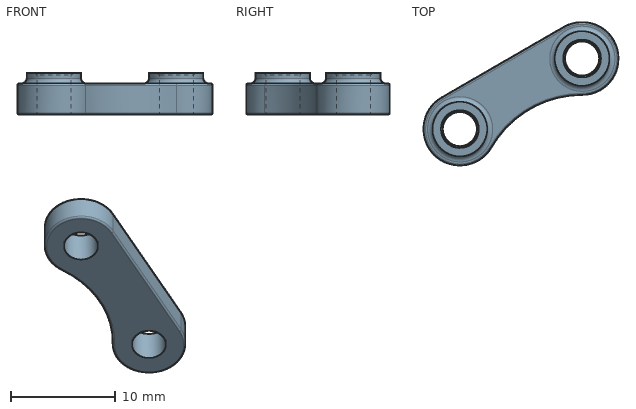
import cadquery as cq
import math

end_radius = 3.5
pivot_distance = 13.51
link_angle = 30
body_height = 2.99
total_height = 4.0
edge_fillet = 0.19
boss_radius = 2.62
boss_fillet = 0.5
hole_radius = 1.63
hole_chamfer = 0.19

waist_radius = pivot_distance - end_radius


def polar(start, radius, angle):
    """Point at a distance and an angle in degrees from a start point."""
    turn = math.radians(angle)
    return (start[0] + radius * math.cos(turn), start[1] + radius * math.sin(turn))


lower_pivot = polar((0, 0), pivot_distance / 2, link_angle + 180)
upper_pivot = polar((0, 0), pivot_distance / 2, link_angle)
waist_center = polar(lower_pivot, pivot_distance, link_angle - 60)
pivots = [lower_pivot, upper_pivot]


def make_body():
    """Link plate with one straight side and one concave side."""
    straight_side = link_angle + 90
    lower_waist = link_angle - 60
    upper_waist = link_angle - 120
    return (
        cq.Workplane("XY")
        .moveTo(*polar(lower_pivot, end_radius, straight_side))
        .lineTo(*polar(upper_pivot, end_radius, straight_side))
        .threePointArc(
            polar(upper_pivot, end_radius, (straight_side + upper_waist) / 2),
            polar(upper_pivot, end_radius, upper_waist),
        )
        .threePointArc(
            polar(waist_center, waist_radius, straight_side),
            polar(lower_pivot, end_radius, lower_waist),
        )
        .threePointArc(
            polar(lower_pivot, end_radius, (straight_side + lower_waist) / 2 + 180),
            polar(lower_pivot, end_radius, straight_side),
        )
        .close()
        .extrude(body_height)
        .faces("|Z")
        .edges()
        .fillet(edge_fillet)
    )


def make_boss(pivot):
    """Round boss whose foot flares into the top of the body."""
    foot_radius = boss_radius + boss_fillet
    arc_reach = boss_fillet * (1 - math.sqrt(0.5))
    profile = (
        cq.Workplane("XZ")
        .moveTo(0, 0)
        .lineTo(foot_radius, 0)
        .lineTo(foot_radius, body_height)
        .threePointArc(
            (boss_radius + arc_reach, body_height + arc_reach),
            (boss_radius, body_height + boss_fillet),
        )
        .lineTo(boss_radius, total_height)
        .lineTo(0, total_height)
        .close()
    )
    return profile.revolve(360, (0, 0), (0, 1)).translate((*pivot, 0))


def make_hole(pivot):
    """Through hole with a chamfered mouth at the top of the boss."""
    profile = (
        cq.Workplane("XZ")
        .moveTo(0, 0)
        .lineTo(hole_radius, 0)
        .lineTo(hole_radius, total_height - hole_chamfer)
        .lineTo(hole_radius + hole_chamfer, total_height)
        .lineTo(0, total_height)
        .close()
    )
    return profile.revolve(360, (0, 0), (0, 1)).translate((*pivot, 0))


result = make_body()
for pivot in pivots:
    result = result.union(make_boss(pivot))
for pivot in pivots:
    result = result.cut(make_hole(pivot))